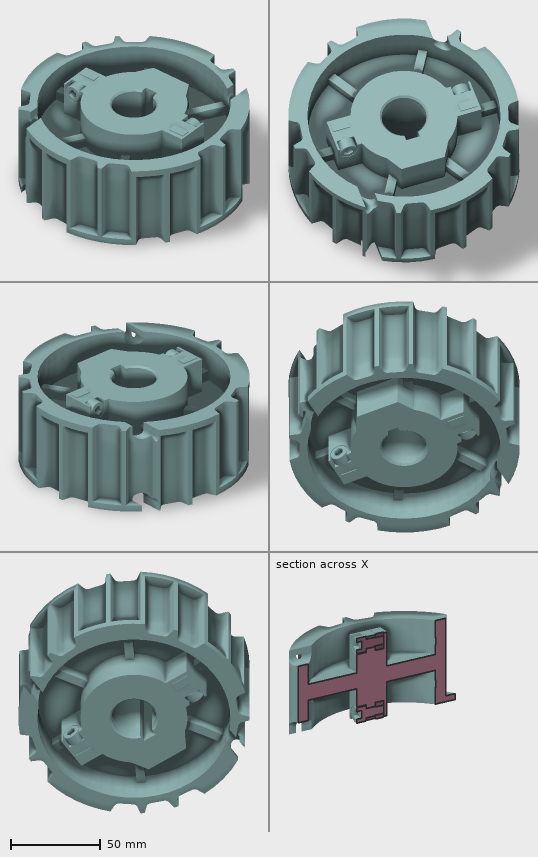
import cadquery as cq
import math

rim_radius = 64.8
rim_bore_radius = 54.0
body_height = 51.0
flange_thickness = 3.9

pocket_count = 21
pocket_floor_radius = 58.4
pocket_floor_half_width = 5.7
pocket_mouth_half_width = 8.7
pocket_corner_radius = 3.0
cut_clearance = 2.6
through_pocket = 7
top_open_pockets = (0, 3, 4, 8, 9, 12, 13, 16, 17, 20)

web_thickness = 10.0
rib_count = 6
rib_width = 5.0
rib_height = 21.9

hub_radius = 29.9
lug_reach = 42.3
lug_width = 20.0
pad_top = 33.3
pad_top_half_width = 12.7
pad_side_angle = 60.0
bore_radius = 12.5
bore_chamfer = 1.0
key_width = 8.0
key_top = 15.8

overall_height = 52.0
bolt_offset = 36.0
head_diameter = 10.0
head_length = 6.0
head_edge_fillet = 0.4
head_recess_diameter = 10.2
hex_across_flats = 5.0
hex_depth = 3.0
shank_diameter = 6.0
nut_width = 10.0
nut_thickness = 5.0
nut_inner_distance = 2.5
driver_slot_width = 7.9

half_height = body_height / 2
lug_face = lug_width / 2
bolt_level = (overall_height - head_diameter) / 2
head_underside = lug_face - head_length
shank_end = -nut_inner_distance - nut_thickness
pocket_pitch = 360 / pocket_count


def cylinder_along_y(diameter, y_start, y_end):
    """Cylinder on the upper bolt's axis, from y_start to the larger y_end."""
    plane = cq.Plane(origin=(bolt_offset, y_start, bolt_level), xDir=(1, 0, 0), normal=(0, 1, 0))
    return cq.Workplane(plane).circle(diameter / 2).extrude(y_end - y_start)


def upward_slot(width, y_start, y_end):
    """U-shaped cutter: round at the bolt axis and open upward past the hub face."""
    channel = cq.Workplane().box(width, y_end - y_start, half_height, centered=(True, False, False))
    channel = channel.translate((bolt_offset, y_start, bolt_level))
    return channel.union(cylinder_along_y(width, y_start, y_end))


def at_four_bolts(shape):
    """Copies of a shape made at the upper +X bolt, placed at all four bolts."""
    lower = shape.mirror("XY")
    return [
        copy.rotate((0, 0, 0), (0, 0, 1), turn)
        for copy in (shape, lower)
        for turn in (0, 180)
    ]


def pocket_cutter(index):
    """Flat-floored pocket between two teeth, closed by a flange unless it is the through pocket."""
    flare = (pocket_mouth_half_width - pocket_floor_half_width) / (rim_radius - pocket_floor_radius)
    outside = rim_radius + cut_clearance
    outside_half_width = pocket_floor_half_width + flare * (outside - pocket_floor_radius)
    bottom = -half_height
    top = half_height
    if index in top_open_pockets:
        bottom += flange_thickness
    elif index != through_pocket:
        top -= flange_thickness
    cutter = (
        cq.Workplane()
        .workplane(offset=bottom)
        .polyline([
            (pocket_floor_radius, -pocket_floor_half_width),
            (outside, -outside_half_width),
            (outside, outside_half_width),
            (pocket_floor_radius, pocket_floor_half_width),
        ])
        .close()
        .extrude(top - bottom)
        .edges("|Z and <X")
        .fillet(pocket_corner_radius)
    )
    return cutter.rotate((0, 0, 0), (0, 0, 1), (index + 0.5) * pocket_pitch)


def make_rim():
    rim = cq.Workplane().circle(rim_radius).circle(rim_bore_radius).extrude(half_height, both=True)
    for index in range(pocket_count):
        rim = rim.cut(pocket_cutter(index))
    return rim


def make_web():
    """Disc with radial ribs on both sides, running a little into the rim wall."""
    web_radius = (rim_bore_radius + pocket_floor_radius) / 2
    web = cq.Workplane().circle(web_radius).extrude(web_thickness / 2, both=True)
    for index in range(rib_count):
        rib = cq.Workplane().box(web_radius, rib_width, rib_height, centered=(False, True, True))
        web = web.union(rib.rotate((0, 0, 0), (0, 0, 1), index * 360 / rib_count))
    return web


def make_keyway_pad():
    """Pad over the keyway, with sloping sides that end on the hub circle."""
    slope = math.radians(pad_side_angle)
    side_distance = pad_top_half_width * math.sin(slope) + pad_top * math.cos(slope)
    angle_on_hub = math.pi / 2 - slope + math.acos(side_distance / hub_radius)
    side_x = hub_radius * math.cos(angle_on_hub)
    side_y = hub_radius * math.sin(angle_on_hub)
    outline = [
        (0, 0),
        (side_x, side_y),
        (pad_top_half_width, pad_top),
        (-pad_top_half_width, pad_top),
        (-side_x, side_y),
    ]
    return cq.Workplane().polyline(outline).close().extrude(half_height, both=True)


def make_hub():
    hub = cq.Workplane().circle(hub_radius).extrude(half_height, both=True)
    lugs = cq.Workplane().box(2 * lug_reach, lug_width, body_height)
    return hub.union(lugs).union(make_keyway_pad())


def make_bore_cutter():
    bore = (
        cq.Workplane("XZ")
        .polyline([
            (0, -half_height),
            (bore_radius + bore_chamfer, -half_height),
            (bore_radius, bore_chamfer - half_height),
            (bore_radius, half_height - bore_chamfer),
            (bore_radius + bore_chamfer, half_height),
            (0, half_height),
        ])
        .close()
        .revolve(360, (0, 0, 0), (0, 1, 0))
    )
    keyway = cq.Workplane().box(key_width, key_top, body_height, centered=(True, False, True))
    return bore.union(keyway)


def make_nut_blank():
    """Square block filling the nut's slot."""
    blank = cq.Workplane().box(nut_width, nut_thickness, nut_width, centered=(True, False, True))
    return blank.translate((bolt_offset, shank_end, bolt_level))


def make_bolt_seat_cutter():
    """Head recess, shank hole, nut slot and the driver slot through the rim."""
    recess = upward_slot(head_recess_diameter, head_underside, lug_face)
    driver_slot = upward_slot(driver_slot_width, lug_face, rim_radius)
    shank_hole = cylinder_along_y(shank_diameter, shank_end, lug_face)
    return recess.union(driver_slot).union(shank_hole).union(make_nut_blank())


def make_sprocket():
    sprocket = make_rim().union(make_web()).union(make_hub()).cut(make_bore_cutter())
    for seat in at_four_bolts(make_bolt_seat_cutter()):
        sprocket = sprocket.cut(seat)
    return sprocket


def make_bolt():
    head = cylinder_along_y(head_diameter, head_underside, lug_face)
    head = head.faces(">Y").edges().fillet(head_edge_fillet)
    hex_across_corners = hex_across_flats / math.cos(math.pi / 6)
    socket_plane = cq.Plane(origin=(bolt_offset, lug_face, bolt_level), xDir=(0, 0, 1), normal=(0, -1, 0))
    socket = cq.Workplane(socket_plane).polygon(6, hex_across_corners).extrude(hex_depth)
    shank = cylinder_along_y(shank_diameter, shank_end, head_underside)
    return head.cut(socket).union(shank)


def make_nut():
    return make_nut_blank().cut(cylinder_along_y(shank_diameter, shank_end, lug_face))


sprocket = make_sprocket()
bolts = at_four_bolts(make_bolt())
nuts = at_four_bolts(make_nut())

result = cq.Compound.makeCompound([
    sprocket.val(),
    *[bolt.val() for bolt in bolts],
    *[nut.val() for nut in nuts],
])